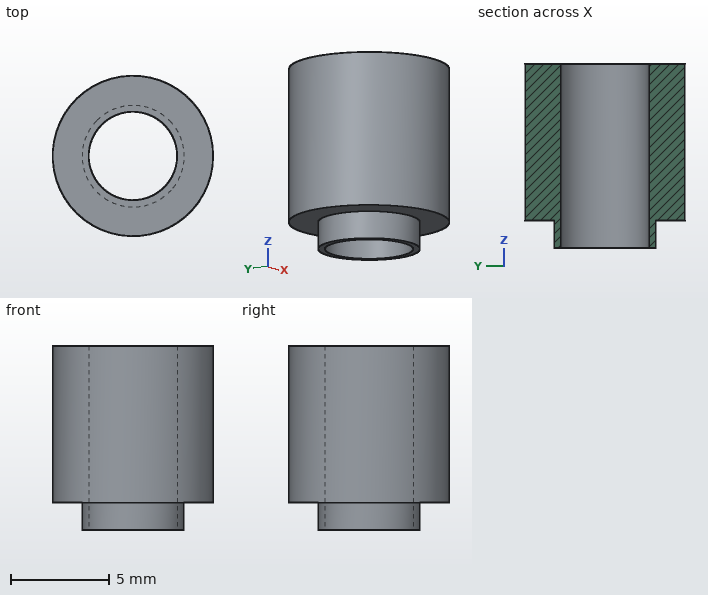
import cadquery as cq

BODY_DIAMETER = 8.2
SPIGOT_DIAMETER = 5.2
BORE_DIAMETER = 4.5
TOTAL_HEIGHT = 9.4
SPIGOT_HEIGHT = 1.4
BODY_HEIGHT = TOTAL_HEIGHT - SPIGOT_HEIGHT


def make_body():
    """Main cylinder, standing on the XY plane."""
    return cq.Workplane("XY").circle(BODY_DIAMETER / 2).extrude(BODY_HEIGHT)


def add_spigot(body):
    """Locating spigot, projecting below the body."""
    spigot = cq.Workplane("XY").circle(SPIGOT_DIAMETER / 2).extrude(-SPIGOT_HEIGHT)
    return body.union(spigot)


def cut_bore(bushing):
    """Bore through the body and the spigot."""
    return bushing.faces(">Z").workplane().circle(BORE_DIAMETER / 2).cutThruAll()


result = cut_bore(add_spigot(make_body()))